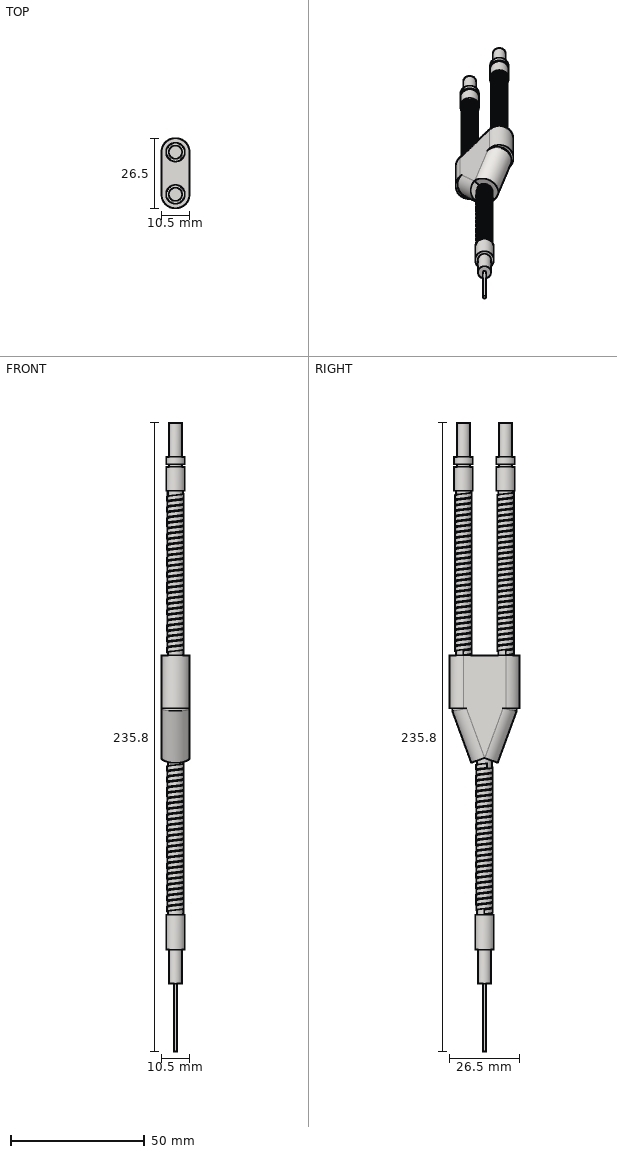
import cadquery as cq
import math


total_height = 235.8
housing_width = 26.5
housing_thickness = 10.5

wire_diameter = 1.2
wire_length = 25.5
tube_diameter = 5.0
tube_length = 12.7
sleeve_diameter = 7.0
sleeve_length = 13.2

tip_length = 12.7
flange_length = 2.8
groove_width = 1.0
ferrule_body_length = 9.0

core_diameter = 5.7
crest_diameter = 6.4
spiral_pitch = 2.03
ridge_width = 1.7
ridge_sink = 0.2

upper_conduit_length = 61.8
straight_length = 19.8
taper_length = 18.6
shoulder_offset = 6.8
lower_seat_depth = 1.2

leg_radius = housing_thickness / 2
leg_offset = housing_width / 2 - leg_radius
sleeve_bottom = wire_length + tube_length
sleeve_top = sleeve_bottom + sleeve_length
ferrule_length = tip_length + flange_length + groove_width + ferrule_body_length
ferrule_bottom = total_height - ferrule_length
housing_top = ferrule_bottom - upper_conduit_length
bend_height = housing_top - straight_length
apex_height = bend_height - taper_length
lower_conduit_top = apex_height + lower_seat_depth
taper_angle = math.atan2(shoulder_offset, taper_length)
housing_bottom = apex_height - leg_radius * math.sin(taper_angle)
upper_leg_positions = (-leg_offset, leg_offset)


def cylinder(diameter, bottom, length, y=0.0):
    """Upright round bar standing at the given Y."""
    return cq.Workplane("XY", origin=(0, y, bottom)).circle(diameter / 2).extrude(length)


def make_bent_bar(y):
    """Round side of the lower housing: straight down, then mitred inwards to the lower leg."""
    path = cq.Workplane("YZ").polyline([(y, housing_top), (y, bend_height), (0, apex_height)])
    return (
        cq.Workplane("XY", origin=(0, y, housing_top))
        .circle(leg_radius)
        .sweep(path, transition="right")
    )


def make_housing():
    """Round-ended block narrowing to a V, bored for the lower conduit."""
    body = (
        cq.Workplane("XY", origin=(0, 0, bend_height))
        .slot2D(housing_width, housing_thickness, 90)
        .extrude(straight_length)
    )
    web_outline = [(-shoulder_offset, bend_height), (shoulder_offset, bend_height), (0, apex_height)]
    web = cq.Workplane("YZ").polyline(web_outline).close().extrude(leg_radius, both=True)
    body = body.union(web)
    for y in (-shoulder_offset, shoulder_offset):
        body = body.union(make_bent_bar(y))
    seat = cylinder(core_diameter, housing_bottom, lower_conduit_top - housing_bottom)
    return body.cut(seat)


def make_conduit(bottom, top, spiral_top):
    """Round core with a square-edged spiral ridge that stays between the bottom and spiral_top."""
    core = cylinder(core_diameter, bottom, top - bottom)
    spiral_length = spiral_top - bottom - spiral_pitch
    root_radius = core_diameter / 2 - ridge_sink
    helix = cq.Workplane(cq.Wire.makeHelix(spiral_pitch, spiral_length, root_radius))
    ridge_profile = [
        (root_radius, -ridge_width / 2),
        (crest_diameter / 2, -ridge_width / 2),
        (crest_diameter / 2, ridge_width / 2),
        (root_radius, ridge_width / 2),
    ]
    ridge = cq.Workplane("XZ").polyline(ridge_profile).close().sweep(helix, isFrenet=True)
    return core.union(ridge.translate((0, 0, bottom + spiral_pitch / 2)))


def make_ferrule(y):
    """Turned end piece: collar with a ring groove, and a slimmer tip on top."""
    collar_length = flange_length + groove_width + ferrule_body_length
    groove_bottom = ferrule_bottom + ferrule_body_length
    groove = cylinder(sleeve_diameter, groove_bottom, groove_width, y)
    collar = cylinder(sleeve_diameter, ferrule_bottom, collar_length, y).cut(groove)
    return collar.union(cylinder(tube_diameter, ferrule_bottom, ferrule_length, y))


housing = make_housing()
lower_conduit = make_conduit(sleeve_top, lower_conduit_top, housing_bottom)
sleeve = cylinder(sleeve_diameter, sleeve_bottom, sleeve_length)
probe_tube = cylinder(tube_diameter, wire_length, tube_length)
wire = cylinder(wire_diameter, 0, wire_length)

upper_conduit = make_conduit(housing_top, ferrule_bottom, ferrule_bottom)
upper_bodies = []
for leg_y in upper_leg_positions:
    upper_bodies.append(upper_conduit.translate((0, leg_y, 0)).val())
    upper_bodies.append(make_ferrule(leg_y).val())

result = cq.Compound.makeCompound(
    [
        housing.val(),
        lower_conduit.val(),
        sleeve.val(),
        probe_tube.val(),
        wire.val(),
        *upper_bodies,
    ]
)